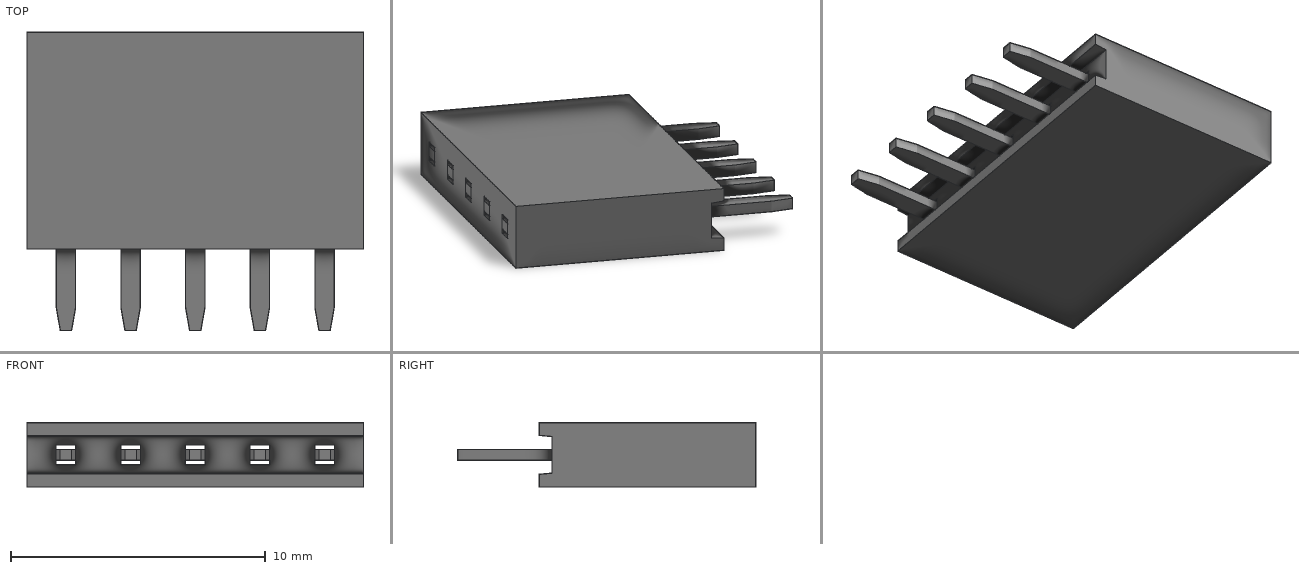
import cadquery as cq

PIN_COUNT = 5
HOUSING_WIDTH = 13.21
HOUSING_HEIGHT = 2.54
OVERALL_LENGTH = 11.7
PIN_PITCH = 2.54

HOUSING_LENGTH = 8.51
RECESS_DEPTH = 0.5
RECESS_FLOOR_HEIGHT = 1.43
RECESS_MOUTH_HEIGHT = 1.52

PIN_WIDTH = 0.77
PIN_THICKNESS = 0.44
TIP_WIDTH = 0.45
TAPER_LENGTH = 0.9

LIP_Y = 0.0
RECESS_FLOOR_Y = LIP_Y + RECESS_DEPTH
REAR_Y = LIP_Y + HOUSING_LENGTH
TIP_Y = REAR_Y - OVERALL_LENGTH
TAPER_START_Y = TIP_Y + TAPER_LENGTH

pin_positions = [(i - (PIN_COUNT - 1) / 2) * PIN_PITCH for i in range(PIN_COUNT)]


def make_housing():
    """C-shaped side profile extruded along X, with one square hole per pin."""
    half_height = HOUSING_HEIGHT / 2
    half_floor = RECESS_FLOOR_HEIGHT / 2
    half_mouth = RECESS_MOUTH_HEIGHT / 2
    profile = [
        (REAR_Y, half_height),
        (LIP_Y, half_height),
        (LIP_Y, half_mouth),
        (RECESS_FLOOR_Y, half_floor),
        (RECESS_FLOOR_Y, -half_floor),
        (LIP_Y, -half_mouth),
        (LIP_Y, -half_height),
        (REAR_Y, -half_height),
    ]
    body = cq.Workplane("YZ").polyline(profile).close().extrude(HOUSING_WIDTH / 2, both=True)

    hole_length = REAR_Y - RECESS_FLOOR_Y
    holes = (
        cq.Workplane("XZ", origin=(0, REAR_Y, 0))
        .pushPoints([(x, 0) for x in pin_positions])
        .rect(PIN_WIDTH, PIN_WIDTH)
        .extrude(hole_length)
    )
    return body.cut(holes)


def make_pin(x):
    """Flat pin centred at x, from the rear face of the housing to its tapered tip."""
    half_width = PIN_WIDTH / 2
    half_tip = TIP_WIDTH / 2
    outline = [
        (x - half_width, REAR_Y),
        (x - half_width, TAPER_START_Y),
        (x - half_tip, TIP_Y),
        (x + half_tip, TIP_Y),
        (x + half_width, TAPER_START_Y),
        (x + half_width, REAR_Y),
    ]
    return cq.Workplane("XY").polyline(outline).close().extrude(PIN_THICKNESS / 2, both=True)


housing = make_housing()
pins = [make_pin(x) for x in pin_positions]

result = cq.Compound.makeCompound([housing.val(), *[pin.val() for pin in pins]])